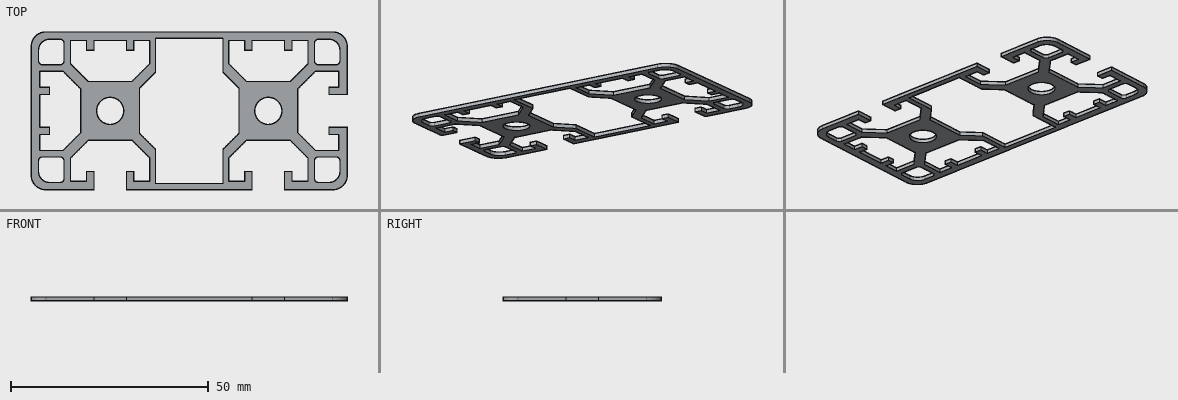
import cadquery as cq

cell = 40.0
length = 2 * cell
half_thickness = 0.5
corner_radius = 3.8

core_half = 7.4
bore_diameter = 6.8

slot_wall = 2.2
slot_half_width = 10.0
slot_floor_half = 5.5
mouth_half_width = 4.1
lip_width = 1.9
lip_depth = 4.7

hollow_wall = 1.9
hollow_side = 6.4
hollow_outer_radius = 2.7
hollow_inner_radius = 1.0

window_half_width = 8.5
window_wall = 1.7
window_waist_half = 5.7

half_cell = cell / 2


def prism(points):
    """Through-thickness prism of a closed polygon."""
    return cq.Workplane("XY").polyline(points).close().extrude(half_thickness, both=True)


def slot_cavity(is_open):
    """T-slot on the +Y side of a cell centred at the origin, with 45 degree floor corners."""
    back = half_cell - slot_wall
    lip_end = half_cell - lip_depth
    lip_outer = mouth_half_width + lip_width
    shoulder = core_half + slot_half_width - slot_floor_half
    mouth_end = half_cell if is_open else back
    right_side = [
        (slot_floor_half, core_half),
        (slot_half_width, shoulder),
        (slot_half_width, back),
        (lip_outer, back),
        (lip_outer, lip_end),
        (mouth_half_width, lip_end),
        (mouth_half_width, mouth_end),
    ]
    left_side = [(-x, y) for x, y in reversed(right_side)]
    return prism(right_side + left_side)


def corner_hollow():
    """Rounded hollow in the +X +Y corner of the whole profile."""
    offset = hollow_wall + hollow_side / 2
    hollow = (
        cq.Workplane("XY")
        .center(cell - offset, half_cell - offset)
        .rect(hollow_side, hollow_side)
        .extrude(half_thickness, both=True)
    )
    outer_edge = hollow.edges("|Z").edges(">(1, 1, 0)")
    hollow = outer_edge.fillet(hollow_outer_radius)
    for selector in ("<(1, 1, 0)", ">(1, -1, 0)", "<(1, -1, 0)"):
        hollow = hollow.edges("|Z").edges(selector).fillet(hollow_inner_radius)
    return hollow


def central_window():
    """Window that widens toward the cores along 45 degree struts."""
    waist = half_cell - core_half
    end = half_cell - window_wall
    shoulder = window_waist_half + waist - window_half_width
    right_side = [
        (window_half_width, -end),
        (window_half_width, -shoulder),
        (waist, -window_waist_half),
        (waist, window_waist_half),
        (window_half_width, shoulder),
        (window_half_width, end),
    ]
    left_side = [(-x, -y) for x, y in right_side]
    return prism(right_side + left_side)


result = (
    cq.Workplane("XY")
    .rect(length, cell)
    .extrude(half_thickness, both=True)
    .edges("|Z")
    .fillet(corner_radius)
    .faces(">Z")
    .workplane()
    .pushPoints([(-half_cell, 0), (half_cell, 0)])
    .hole(bore_diameter)
)
result = result.cut(central_window())

slots = [
    (-1, 0, False),
    (-1, 90, False),
    (-1, 180, True),
    (1, 0, False),
    (1, 180, True),
    (1, 270, True),
]
for side, turn, is_open in slots:
    cavity = slot_cavity(is_open).rotate((0, 0, 0), (0, 0, 1), turn)
    result = result.cut(cavity.translate((side * half_cell, 0, 0)))

hollow_right = corner_hollow()
hollow_right = hollow_right.union(hollow_right.mirror("XZ"))
result = result.cut(hollow_right).cut(hollow_right.mirror("YZ"))